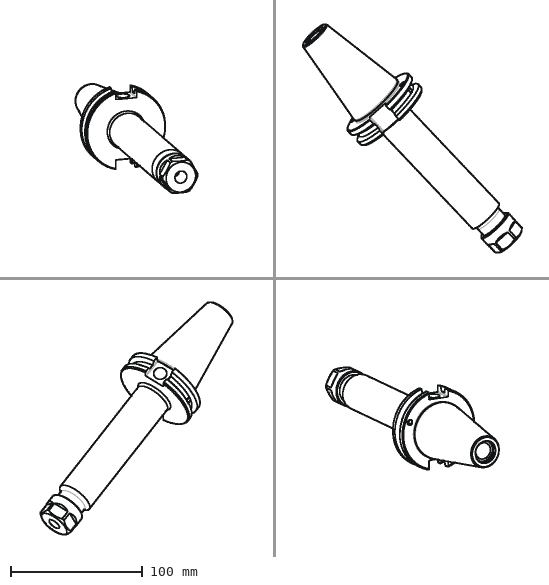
import cadquery as cq
import math


overall_length = 220.6
gauge_x = 68.5
relief_x = 70.0
flange_front_x = 71.5
flange_width = 15.9
shank_end_x = 193.3
nut_x = 202.8

small_end_dia = 24.5
gauge_dia = 44.5
relief_dia = 43.7
flange_dia = 63.3
groove_dia = 56.0
shank_dia = 28.0
neck_dia = 22.5

taper_edge_break = 0.9
taper_edge_break_height = 0.7
relief_fillet = 0.7
flange_front_break = 0.5
flange_front_break_height = 0.9
flange_rear_break = 1.0
flange_rear_break_height = 0.7
root_cone_length = 2.5
root_cone_height = 1.0

groove_floor_width = 3.5
groove_wall_angle = 27.0

slot_width = 16.5
slot_fillet = 0.7
top_slot_floor_z = 25.0
bottom_slot_floor_z = -23.0
dimple_dia = 10.0

port_dia = 4.0
port_y = 25.2
port_z = 9.3
port_tilt = 30.0
outlet_dia = 3.8
outlet_depth = 5.5

mouth_dia = 17.7
counterbore_dia = 16.3
counterbore_depth = 3.8
mouth_chamfer_length = 1.3
drawbar_dia = 12.8
drawbar_depth = 32.0
through_dia = 9.5
drill_point_angle = 118.0

nut_dia = 28.0
nut_across_flats = 25.2
nut_rear_break = 0.7
nut_front_break = 1.8
nut_front_break_height = 2.2
flat_start_x = 211.4

flange_rear_x = flange_front_x + flange_width
flange_mid_x = flange_front_x + flange_width / 2


def revolve_profile(points):
    """Turn a closed (x, radius) outline about the X axis."""
    return cq.Workplane("XY").polyline(points).close().revolve(360, (0, 0, 0), (1, 0, 0))


def holder_blank():
    """Taper, flange, shank and neck as one turned shape."""
    small_end_r = small_end_dia / 2
    taper_slope = (gauge_dia - small_end_dia) / 2 / gauge_x
    flange_r = flange_dia / 2
    shank_r = shank_dia / 2
    relief_r = relief_dia / 2
    neck_r = neck_dia / 2
    neck_fillet = shank_r - neck_r
    outline = (
        cq.Workplane("XY")
        .moveTo(0, 0)
        .lineTo(0, small_end_r - taper_edge_break_height)
        .lineTo(taper_edge_break, small_end_r + taper_edge_break * taper_slope)
        .lineTo(gauge_x, gauge_dia / 2)
        .lineTo(relief_x, gauge_dia / 2)
        .lineTo(relief_x, relief_r)
        .lineTo(flange_front_x - relief_fillet, relief_r)
        .radiusArc((flange_front_x, relief_r + relief_fillet), -relief_fillet)
        .lineTo(flange_front_x, flange_r - flange_front_break_height)
        .lineTo(flange_front_x + flange_front_break, flange_r)
        .lineTo(flange_rear_x - flange_rear_break, flange_r)
        .lineTo(flange_rear_x, flange_r - flange_rear_break_height)
        .lineTo(flange_rear_x, shank_r + root_cone_height)
        .lineTo(flange_rear_x + root_cone_length, shank_r)
        .lineTo(shank_end_x, shank_r)
        .radiusArc((shank_end_x + neck_fillet, neck_r), -neck_fillet)
        .lineTo(nut_x, neck_r)
        .lineTo(nut_x, 0)
        .close()
    )
    return outline.revolve(360, (0, 0, 0), (1, 0, 0))


def flange_groove():
    """Ring that cuts the V groove into the flange rim."""
    floor_r = groove_dia / 2
    top_r = flange_dia / 2 + 2.2
    floor_half = groove_floor_width / 2
    top_half = floor_half + (top_r - floor_r) * math.tan(math.radians(groove_wall_angle))
    return revolve_profile([
        (flange_mid_x - floor_half, floor_r),
        (flange_mid_x - top_half, top_r),
        (flange_mid_x + top_half, top_r),
        (flange_mid_x + floor_half, floor_r),
    ])


def drive_slot(floor_z, direction):
    """Box above (direction 1) or below (direction -1) a slot floor."""
    height = flange_dia / 2
    floor_side = "<Z" if direction > 0 else ">Z"
    slot = (
        cq.Workplane("XY")
        .box(flange_width, slot_width, height)
        .faces(floor_side)
        .edges("|X")
        .fillet(slot_fillet)
    )
    return slot.translate((flange_mid_x, 0, floor_z + direction * height / 2))


def slot_dimple():
    """Cone-shaped dimple in the floor of the top slot."""
    radius = dimple_dia / 2
    depth = radius / math.tan(math.radians(drill_point_angle / 2))
    return cq.Workplane(cq.Solid.makeCone(
        radius, 0, depth, cq.Vector(flange_mid_x, 0, top_slot_floor_z), cq.Vector(0, 0, -1)))


def coolant_port(side):
    """Inclined hole from the flange face that meets a radial hole in the groove floor."""
    outward = cq.Vector(0, side * port_y, side * port_z).normalized()
    tilt = math.radians(port_tilt)
    start = cq.Vector(flange_front_x, side * port_y, side * port_z)
    direction = cq.Vector(math.cos(tilt), 0, 0) - outward * math.sin(tilt)
    lead_in = port_dia / 2
    length = flange_width / 2 / math.cos(tilt)
    inlet = cq.Solid.makeCylinder(
        port_dia / 2, length + lead_in, start - direction * lead_in, direction)
    outlet_start = outward * (groove_dia / 2 - outlet_depth) + cq.Vector(flange_mid_x, 0, 0)
    outlet = cq.Solid.makeCylinder(outlet_dia / 2, 2 * outlet_depth, outlet_start, outward)
    return cq.Workplane(inlet.fuse(outlet))


def holder_bore():
    """Stepped bore through the holder."""
    point_length = (drawbar_dia - through_dia) / 2 / math.tan(math.radians(drill_point_angle / 2))
    return revolve_profile([
        (0, 0),
        (0, mouth_dia / 2),
        (mouth_chamfer_length, counterbore_dia / 2),
        (counterbore_depth, counterbore_dia / 2),
        (counterbore_depth, drawbar_dia / 2),
        (drawbar_depth, drawbar_dia / 2),
        (drawbar_depth + point_length, through_dia / 2),
        (nut_x, through_dia / 2),
        (nut_x, 0),
    ])


def make_holder():
    """Chuck body with its groove, slots, ports and bore."""
    holder = holder_blank().cut(flange_groove())
    holder = holder.cut(drive_slot(top_slot_floor_z, 1))
    holder = holder.cut(drive_slot(bottom_slot_floor_z, -1))
    holder = holder.cut(slot_dimple())
    for side in (1, -1):
        holder = holder.cut(coolant_port(side))
    return holder.cut(holder_bore())


def wrench_flat(angle):
    """Cutter for one nut flat, with a 45 degree run-out at its rear end."""
    flat_r = nut_across_flats / 2
    height = nut_dia / 2
    cutter = (
        cq.Workplane("XZ")
        .polyline([
            (flat_start_x, flat_r),
            (overall_length, flat_r),
            (overall_length, flat_r + height),
            (flat_start_x - height, flat_r + height),
        ])
        .close()
        .extrude(nut_dia / 2, both=True)
    )
    return cutter.rotate((0, 0, 0), (1, 0, 0), angle)


def make_nut():
    """Round nut with a chamfered front, six wrench flats and a through hole."""
    nut_r = nut_dia / 2
    hole_r = through_dia / 2
    nut = revolve_profile([
        (nut_x, hole_r),
        (nut_x, nut_r - nut_rear_break),
        (nut_x + nut_rear_break, nut_r),
        (overall_length - nut_front_break, nut_r),
        (overall_length, nut_r - nut_front_break_height),
        (overall_length, hole_r),
    ])
    for index in range(6):
        nut = nut.cut(wrench_flat(index * 60))
    return nut


holder = make_holder()
nut = make_nut()

result = cq.Compound.makeCompound([holder.val(), nut.val()])